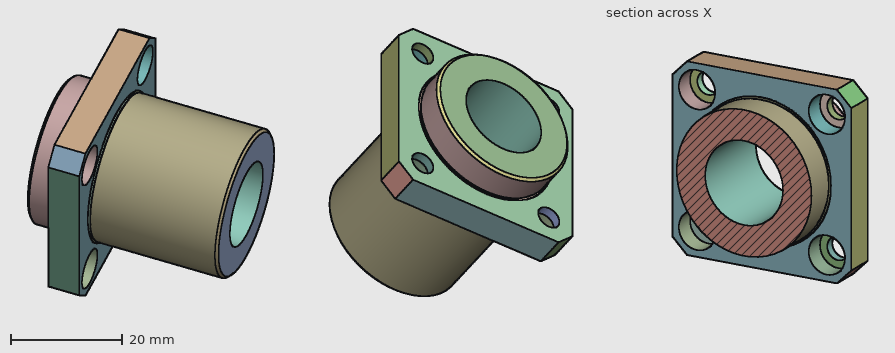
import cadquery as cq


total_length = 37.0
body_diameter = 28.0
bore_diameter = 16.0
end_chamfer = 0.5

flange_start = 6.0
flange_thickness = 6.0
flange_side = 37.0
flange_corner_chamfer = 3.0
relief_depth = 0.3

bolt_circle_diameter = 38.0
mounting_hole_diameter = 4.5
counterbore_diameter = 7.5
counterbore_depth = 4.1
first_hole_angle = 45.0
hole_count = 4

body_radius = body_diameter / 2
flange_end = flange_start + flange_thickness


def make_body():
    """Solid cylinder along X with both rims chamfered."""
    cylinder = cq.Workplane("YZ").circle(body_radius).extrude(total_length)
    return cylinder.faces("<X or >X").edges().chamfer(end_chamfer)


def make_flange():
    """Square plate with its four corners cut off."""
    plate = (
        cq.Workplane("YZ", origin=(flange_start, 0, 0))
        .rect(flange_side, flange_side)
        .extrude(flange_thickness)
    )
    return plate.edges("|X").chamfer(flange_corner_chamfer)


def make_root_relief(face_x):
    """Ring-shaped undercut, square in section, centred on the corner between body and flange."""
    return (
        cq.Workplane("YZ", origin=(face_x - relief_depth, 0, 0))
        .circle(body_radius + relief_depth)
        .circle(body_radius - relief_depth)
        .extrude(2 * relief_depth)
    )


def make_bore():
    """Through bore along the axis."""
    return cq.Workplane("YZ").circle(bore_diameter / 2).extrude(total_length)


def make_hole_pattern(diameter, start_x, depth):
    """Cylinders along +X at the mounting hole positions."""
    return (
        cq.Workplane("YZ", origin=(start_x, 0, 0))
        .polarArray(bolt_circle_diameter / 2, first_hole_angle, 360, hole_count)
        .circle(diameter / 2)
        .extrude(depth)
    )


def make_mounting_holes():
    """Through holes in the flange, counterbored from its rear face."""
    through_holes = make_hole_pattern(mounting_hole_diameter, flange_start, flange_thickness)
    counterbores = make_hole_pattern(
        counterbore_diameter, flange_end - counterbore_depth, counterbore_depth
    )
    return through_holes.union(counterbores)


result = (
    make_body()
    .union(make_flange())
    .cut(make_root_relief(flange_start))
    .cut(make_root_relief(flange_end))
    .cut(make_bore())
    .cut(make_mounting_holes())
)